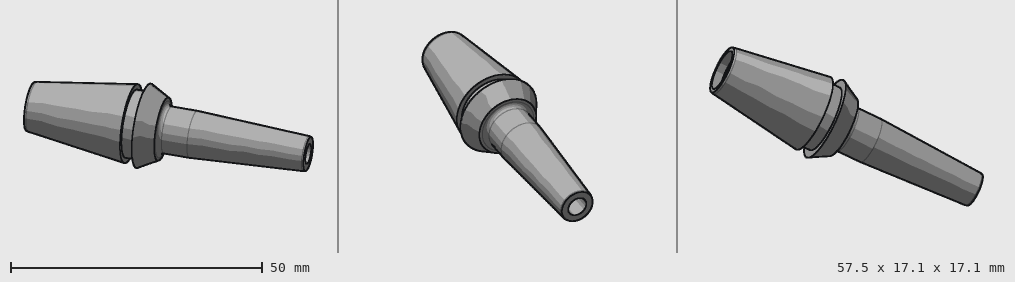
import cadquery as cq
import math

total_length = 57.5
head_end = 20.8
flange_start = 23.4
flange_end = 27.4
neck_end = 33.7

head_tip_radius = 5.05
head_radius = 8.0
groove_radius = 6.9
flange_diameter = 17.1
flange_radius = flange_diameter / 2
flange_nose_radius = 6.4
neck_radius = 4.8
shank_tip_radius = 3.55

end_chamfer_length = 0.4
end_chamfer_height = 0.1
neck_fillet = 1.0

socket_radius = 4.15
socket_depth = 1.9
drill_half_angle = math.radians(59)
bore_radius = 2.0


def make_body():
    """Revolve the outside profile, drawn as (x, radius), about the X axis."""
    fillet_reach = neck_fillet * (1 - math.sqrt(0.5))
    return (
        cq.Workplane("XY")
        .moveTo(0, 0)
        .lineTo(0, head_tip_radius - end_chamfer_height)
        .lineTo(end_chamfer_length, head_tip_radius)
        .lineTo(head_end, head_radius)
        .lineTo(head_end, groove_radius)
        .lineTo(flange_start, groove_radius)
        .lineTo(flange_start, flange_radius)
        .lineTo(flange_end, flange_nose_radius)
        .lineTo(flange_end, neck_radius + neck_fillet)
        .threePointArc(
            (flange_end + fillet_reach, neck_radius + fillet_reach),
            (flange_end + neck_fillet, neck_radius),
        )
        .lineTo(neck_end, neck_radius)
        .lineTo(total_length - end_chamfer_length, shank_tip_radius)
        .lineTo(total_length, shank_tip_radius - end_chamfer_height)
        .lineTo(total_length, 0)
        .close()
        .revolve(360, (0, 0, 0), (1, 0, 0))
    )


def make_bore():
    """Socket with a drill-point bottom that leads into the through hole."""
    cone_length = (socket_radius - bore_radius) / math.tan(drill_half_angle)
    return (
        cq.Workplane("XY")
        .moveTo(0, 0)
        .lineTo(0, socket_radius)
        .lineTo(socket_depth, socket_radius)
        .lineTo(socket_depth + cone_length, bore_radius)
        .lineTo(total_length, bore_radius)
        .lineTo(total_length, 0)
        .close()
        .revolve(360, (0, 0, 0), (1, 0, 0))
    )


result = make_body().cut(make_bore())